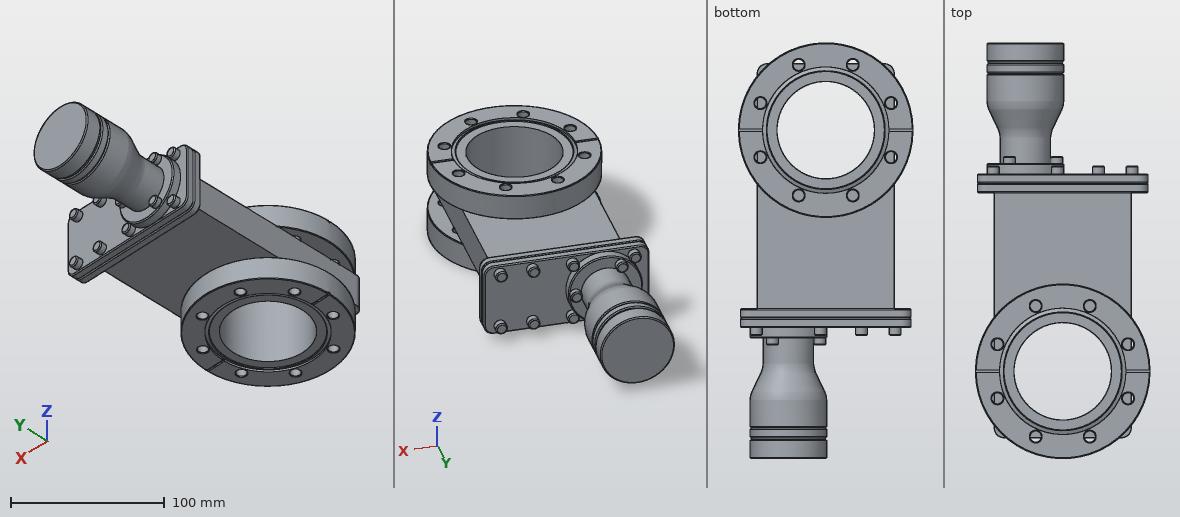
import cadquery as cq
import math


clearance = 2.7

body_width = 89.3
body_height = 25.5
body_end_y = -43.3
body_corner_radius = 6.5

flange_radius = 56.8
flange_thickness = 17.9
flange_chamfer = 0.5
bore_radius = 31.6
half_height = body_height / 2 + flange_thickness

recess_radius = 41.0
recess_depth = 1.5
knife_radius = 38.7
knife_depth = 0.5
land_radius = 38.1
land_depth = 1.0

bolt_hole_count = 8
bolt_hole_diameter = 7.3
bolt_hole_chamfer = 0.5
bolt_circle_radius = 46.0
leak_groove_width = 1.5
leak_groove_depth = 1.4

plate_width = 111.2
plate_height = 51.5
plate_corner_radius = 6.5
plate_thickness = 6.2
plate_chamfer = 0.8
plate_start_y = 116.0
plate_face_y = plate_start_y + 2 * plate_thickness

actuator_x = -24.3
actuator_end_y = 213.7
boss_thickness = 6.8
boss_face_y = plate_face_y + boss_thickness
cylinder_diameter = 50.0
cylinder_radius = cylinder_diameter / 2
neck_radius = 16.5
cone_start_y = 155.0
cone_end_y = 172.8
cone_blend_radius = 13.3
actuator_chamfer = 0.8
ring_groove_depth = 0.8
ring_groove_slope = 0.8
wide_groove_y = 200.7
wide_groove_floor = 1.0
narrow_groove_y = 193.7
narrow_groove_floor = 0.3

head_diameter = 7.8
plate_head_height = 5.1
boss_head_height = 4.5
head_chamfer = 0.8
boss_screw_count = 3
boss_screw_radius = 20.5
plate_screw_z = 19.7
plate_screw_spread = 20.8
middle_screw_x = 23.3
end_screw_x = 45.2
plate_screw_x = (
    actuator_x - plate_screw_spread,
    actuator_x + plate_screw_spread,
    middle_screw_x,
    end_screw_x,
)


def turned_y(x, start_y, end_y, radius, z=0.0):
    """Cylinder along +Y from start_y to end_y."""
    start = cq.Vector(x, start_y, z)
    direction = cq.Vector(0, 1, 0)
    return cq.Workplane(cq.Solid.makeCylinder(radius, end_y - start_y, start, direction))


def make_flange():
    """Upper flange: knife-edge recess, bolt holes and leak-check grooves."""
    bottom_z = body_height / 2
    flange = (
        cq.Workplane("XY", origin=(0, 0, bottom_z))
        .circle(flange_radius)
        .extrude(flange_thickness)
        .edges()
        .chamfer(flange_chamfer)
    )
    recess = (
        cq.Workplane("XZ")
        .moveTo(0, half_height)
        .lineTo(recess_radius, half_height)
        .lineTo(recess_radius, half_height - recess_depth)
        .lineTo(knife_radius, half_height - knife_depth)
        .lineTo(land_radius, half_height - land_depth)
        .lineTo(0, half_height - land_depth)
        .close()
        .revolve(360, (0, 0), (0, 1))
    )
    hole = (
        cq.Workplane("XY", origin=(0, 0, bottom_z))
        .circle(bolt_hole_diameter / 2)
        .extrude(flange_thickness)
    )
    mouth_radius = bolt_hole_diameter / 2 + bolt_hole_chamfer
    for z, direction in ((bottom_z, 1), (half_height, -1)):
        mouth = cq.Solid.makeCone(
            mouth_radius, 0, mouth_radius, cq.Vector(0, 0, z), cq.Vector(0, 0, direction)
        )
        hole = hole.union(cq.Workplane(mouth))
    leak_groove_length = flange_radius - recess_radius
    leak_groove_x = recess_radius + leak_groove_length / 2
    leak_grooves = (
        cq.Workplane("XY", origin=(0, 0, half_height))
        .pushPoints([(-leak_groove_x, 0), (leak_groove_x, 0)])
        .box(leak_groove_length, leak_groove_width, 2 * leak_groove_depth)
    )
    flange = flange.cut(recess).cut(leak_grooves)
    angle_step = 360 / bolt_hole_count
    for index in range(bolt_hole_count):
        angle = math.radians((index + 0.5) * angle_step)
        position = (bolt_circle_radius * math.cos(angle), bolt_circle_radius * math.sin(angle), 0)
        flange = flange.cut(hole.translate(position))
    return flange


def make_body():
    """Flat gate body with its free corners rounded."""
    length = plate_start_y - body_end_y
    return (
        cq.Workplane("XY")
        .box(body_width, length, body_height)
        .translate((0, body_end_y + length / 2, 0))
        .edges("|Z and <Y")
        .fillet(body_corner_radius)
    )


def make_plate(start_y):
    """End plate with rounded corners and bevelled rims."""
    return (
        cq.Workplane("XY")
        .box(plate_width, plate_thickness, plate_height)
        .edges("|Y")
        .fillet(plate_corner_radius)
        .faces("<Y or >Y")
        .edges()
        .chamfer(plate_chamfer)
        .translate((0, start_y + plate_thickness / 2, 0))
    )


def make_ring_groove(centre_y, floor_width):
    """Ring with sloping flanks, to be cut from the actuator cylinder."""
    floor_radius = cylinder_radius - ring_groove_depth
    floor_half = floor_width / 2
    mouth_half = floor_half + ring_groove_slope
    clear_radius = cylinder_radius + clearance
    return (
        cq.Workplane("XY")
        .moveTo(floor_radius, centre_y - floor_half)
        .lineTo(cylinder_radius, centre_y - mouth_half)
        .lineTo(clear_radius, centre_y - mouth_half)
        .lineTo(clear_radius, centre_y + mouth_half)
        .lineTo(cylinder_radius, centre_y + mouth_half)
        .lineTo(floor_radius, centre_y + floor_half)
        .close()
        .revolve(360, (0, 0), (0, 1))
        .translate((actuator_x, 0, 0))
    )


def make_actuator():
    """Boss, neck, blended cone and grooved cylinder."""
    boss = (
        turned_y(actuator_x, plate_face_y, boss_face_y, cylinder_radius)
        .faces(">Y")
        .edges()
        .chamfer(actuator_chamfer)
    )
    barrel = (
        cq.Workplane("XY")
        .moveTo(0, plate_face_y)
        .lineTo(neck_radius, plate_face_y)
        .lineTo(neck_radius, cone_start_y)
        .lineTo(cylinder_radius, cone_end_y)
        .lineTo(cylinder_radius, actuator_end_y)
        .lineTo(0, actuator_end_y)
        .close()
        .revolve(360, (0, 0), (0, 1))
    )
    cone_rims = cq.selectors.BoxSelector(
        (-flange_radius, cone_start_y - clearance, -flange_radius),
        (flange_radius, cone_end_y + clearance, flange_radius),
        boundingbox=True,
    )
    barrel = (
        barrel.edges(cone_rims)
        .fillet(cone_blend_radius)
        .faces(">Y")
        .edges()
        .chamfer(actuator_chamfer)
        .translate((actuator_x, 0, 0))
    )
    barrel = barrel.cut(make_ring_groove(wide_groove_y, wide_groove_floor))
    barrel = barrel.cut(make_ring_groove(narrow_groove_y, narrow_groove_floor))
    return boss.union(barrel)


def make_screw_head(x, seat_y, z, height):
    """Round screw head standing on a face that looks along +Y."""
    head = turned_y(x, seat_y, seat_y + height, head_diameter / 2, z)
    return head.faces(">Y").edges().chamfer(head_chamfer)


upper_flange = make_flange()
result = make_body().union(upper_flange).union(upper_flange.mirror("XY"))

bore = (
    cq.Workplane("XY", origin=(0, 0, -half_height))
    .circle(bore_radius)
    .extrude(2 * half_height)
)
result = result.cut(bore)

for plate_index in range(2):
    result = result.union(make_plate(plate_start_y + plate_index * plate_thickness))

result = result.union(make_actuator())

for x in plate_screw_x:
    for z in (-plate_screw_z, plate_screw_z):
        result = result.union(make_screw_head(x, plate_face_y, z, plate_head_height))

for index in range(boss_screw_count):
    angle = 2 * math.pi * index / boss_screw_count
    x = actuator_x + boss_screw_radius * math.cos(angle)
    z = boss_screw_radius * math.sin(angle)
    result = result.union(make_screw_head(x, boss_face_y, z, boss_head_height))